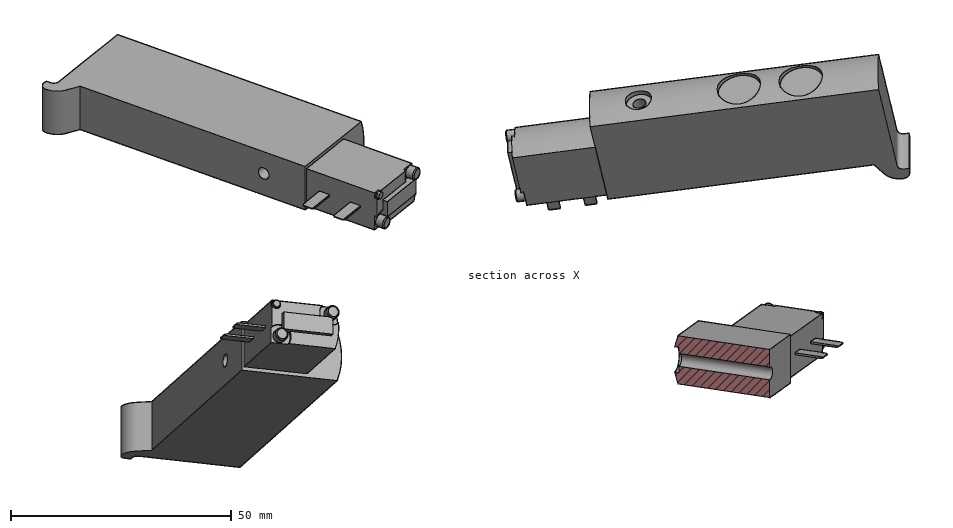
import cadquery as cq

body_left = 2.5
body_right = 69.1
body_top = 24.1
body_height = 11.7
body_crown = 1.1

hook_bottom = -5.4
hook_seat = -2.4
hook_throat_radius = 1.35
hook_tip_radius = 2.0
hook_heel_radius = 4.5
hook_heel_end = (6.0, -2.9)
hook_overlap = 4.5
hook_back_start = 7.6

recess_diameter = 10.0
recess_positions = [20.3, 34.6]
recess_depth = 1.35
hole_x = 57.7
hole_diameter = 3.0
counterbore_diameter = 6.0

block_right = 88.3
block_bottom = 0.5
block_top = 16.6
block_height = 10.0
block_crown = 0.9

terminal_positions = [74.0, 82.4]
terminal_width = 2.8
terminal_thickness = 0.45
terminal_end = -6.4
terminal_chamfer_length = 0.45
terminal_chamfer_width = 0.135

overall_right = 89.8
seat_depth = 0.6
screw_diameter = 3.0
screw_seat_diameter = 5.4
screw_chamfer = 0.3
screw_centers = [(14.7, 3.3), (2.4, -3.3)]
plate_right = 89.5
plate_bottom = 3.0
plate_top = 14.7
plate_height = 4.0
pin_center = (1.5, 4.1)
pin_diameter = 1.6
pin_seat_diameter = 2.1
pin_right = 88.7


def crowned_block(left, right, bottom, top, height, crown):
    """Block whose +Y side bulges in an arc across its height."""
    half = height / 2
    return (
        cq.Workplane("YZ", origin=(left, 0, 0))
        .moveTo(bottom, -half)
        .lineTo(top - crown, -half)
        .threePointArc((top, 0), (top - crown, half))
        .lineTo(bottom, half)
        .close()
        .extrude(right - left)
    )


def x_cylinder(center, diameter, left, right):
    """Cylinder along X, centred at the given (Y, Z)."""
    return (
        cq.Workplane("YZ", origin=(left, 0, 0))
        .center(*center)
        .circle(diameter / 2)
        .extrude(right - left)
    )


def y_cylinder(x, diameter, bottom, top):
    """Cylinder along Y on the mid-plane."""
    return (
        cq.Workplane("XZ", origin=(x, top, 0))
        .circle(diameter / 2)
        .extrude(top - bottom)
    )


def make_hook():
    return (
        cq.Workplane("XY", origin=(0, 0, -body_height / 2))
        .moveTo(body_left, 0)
        .lineTo(body_left, hook_seat + hook_throat_radius)
        .radiusArc((body_left - hook_throat_radius, hook_seat), hook_throat_radius)
        .lineTo(0, hook_seat)
        .lineTo(0, hook_bottom + hook_tip_radius)
        .radiusArc((hook_tip_radius, hook_bottom), -hook_tip_radius)
        .radiusArc(hook_heel_end, -hook_heel_radius)
        .lineTo(hook_back_start, 0)
        .lineTo(hook_back_start, hook_overlap)
        .lineTo(body_left, hook_overlap)
        .close()
        .extrude(body_height)
    )


def make_housing():
    housing = crowned_block(body_left, body_right, 0, body_top, body_height, body_crown)
    housing = housing.union(make_hook())
    recess_floor = body_top - recess_depth
    for x in recess_positions:
        housing = housing.cut(y_cylinder(x, recess_diameter, recess_floor, body_top))
    housing = housing.cut(y_cylinder(hole_x, counterbore_diameter, recess_floor, body_top))
    return housing.cut(y_cylinder(hole_x, hole_diameter, 0, body_top))


def make_terminal(x):
    return (
        cq.Workplane("XZ", origin=(x, block_bottom, 0))
        .rect(terminal_width, terminal_thickness)
        .extrude(block_bottom - terminal_end)
        .faces("<Y")
        .edges()
        .chamfer(terminal_chamfer_length, terminal_chamfer_width)
    )


def make_connector():
    connector = crowned_block(
        body_right, block_right, block_bottom, block_top, block_height, block_crown
    )
    seat_floor = block_right - seat_depth
    for center in screw_centers:
        connector = connector.cut(x_cylinder(center, screw_seat_diameter, seat_floor, block_right))
    connector = connector.cut(x_cylinder(pin_center, pin_seat_diameter, seat_floor, block_right))

    plate = cq.Workplane("XY").box(
        plate_right - seat_floor, plate_top - plate_bottom, plate_height, centered=(False, False, True)
    )
    connector = connector.union(plate.translate((seat_floor, plate_bottom, 0)))
    for center in screw_centers:
        head = x_cylinder(center, screw_diameter, seat_floor, overall_right)
        connector = connector.union(head.faces(">X").chamfer(screw_chamfer))
    connector = connector.union(x_cylinder(pin_center, pin_diameter, seat_floor, pin_right))
    for x in terminal_positions:
        connector = connector.union(make_terminal(x))
    return connector


result = make_housing().union(make_connector())